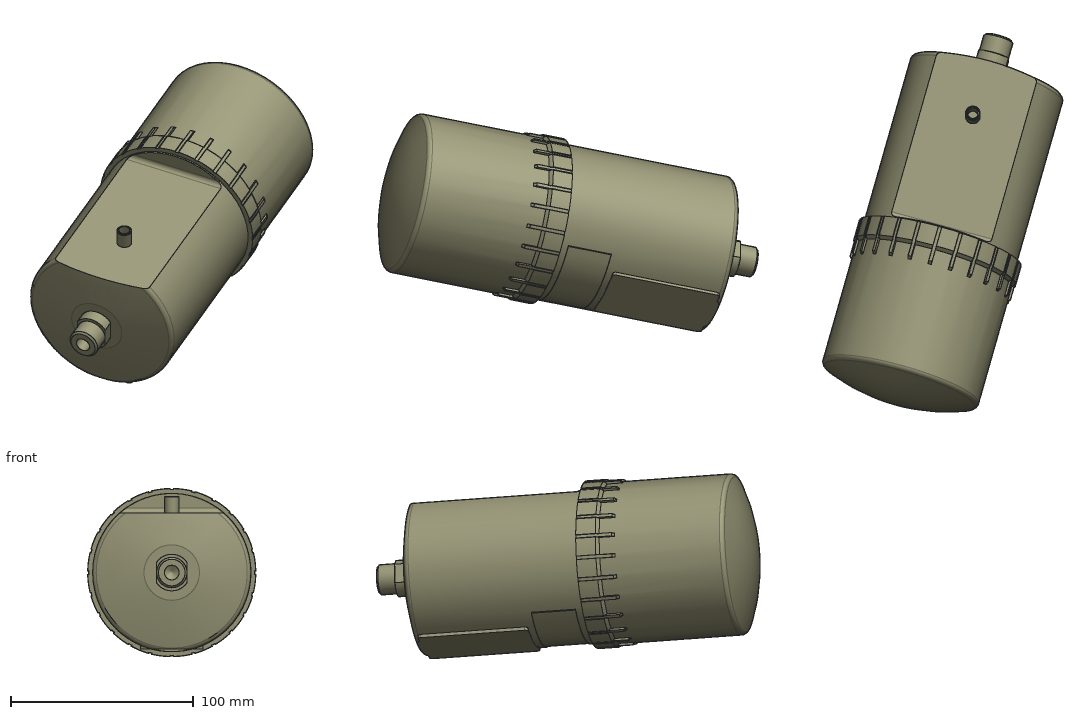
import cadquery as cq
import math


CAP_RADIUS = 88.5 / 2
CAP_LENGTH = 91.3
CAP_DOME_RADIUS = 107.5
CAP_EDGE_FILLET = 2.7
RING_RADIUS = 92.1 / 2
RING_LENGTH = 11.0
RING_CHAMFER = RING_RADIUS - CAP_RADIUS

RIB_COUNT = 24
RIB_WIDTH = 2.0
RIB_RADIUS = 45.5
RIB_END = 21.3
RIB_END_SLOPE_LENGTH = 1.5
RIB_EMBEDMENT = 2.1
RIB_ROOT_RADIUS = CAP_RADIUS - RIB_EMBEDMENT

TOTAL_LENGTH = 210.8
HOUSING_RADIUS = 86.6 / 2
HOUSING_LENGTH = 102.0
HOUSING_DOME_RADIUS = 149.7
HOUSING_EDGE_FILLET = 2.7
END_FACE_RADIUS = 15.2

TOP_FLAT_Z = 32.7
COLLAR_LENGTH = 1.0
TOP_FLAT_FILLET = 2.5

PAD_Z = -41.7
PAD_WIDTH = 34.2
PAD_START = 32.9
PAD_END = 94.5
PAD_CORNER_RADIUS = 1.7
PAD_ROOT_Z = -38.0
LABEL_START = 4.5
LABEL_END = 29.0
LABEL_WIDTH = 50.5
LABEL_DEPTH = 0.5

CONNECTOR_COLLAR_RADIUS = 20.0 / 2
CONNECTOR_COLLAR_FLATS = 16.9
CONNECTOR_COLLAR_LENGTH = 7.0
BARREL_RADIUS = 16.7 / 2
BARREL_CHAMFER = 1.0
BORE_RADIUS = 8.0 / 2
BORE_DEPTH = 12.6
BORE_TIP_ANGLE = 118.0

TUBE_RADIUS = 8.0 / 2
TUBE_TOP_Z = 41.7
TUBE_Y = -66.8
TUBE_CHAMFER = 0.5
TUBE_HOLE_RADIUS = 3.0


def domed_cylinder(radius, length, dome_radius, edge_fillet, face_radius=0.0):
    """Solid of revolution from Y = 0 to Y = length, with a domed and filleted far end.

    The dome may stop at a flat face of face_radius.
    """
    dome_centre = length - math.sqrt(dome_radius**2 - face_radius**2)
    fillet_x = radius - edge_fillet
    fillet_angle = math.acos(fillet_x / (dome_radius - edge_fillet))
    fillet_y = dome_centre + (dome_radius - edge_fillet) * math.sin(fillet_angle)

    def on_dome(angle):
        return (dome_radius * math.cos(angle), dome_centre + dome_radius * math.sin(angle))

    def on_fillet(angle):
        return (fillet_x + edge_fillet * math.cos(angle), fillet_y + edge_fillet * math.sin(angle))

    face_angle = math.acos(face_radius / dome_radius)
    profile = (
        cq.Workplane("XY")
        .moveTo(0, 0)
        .lineTo(radius, 0)
        .lineTo(radius, fillet_y)
        .threePointArc(on_fillet(fillet_angle / 2), on_fillet(fillet_angle))
        .threePointArc(on_dome((fillet_angle + face_angle) / 2), (face_radius, length))
    )
    if face_radius > 0:
        profile = profile.lineTo(0, length)
    return profile.close().revolve(360, (0, 0, 0), (0, 1, 0))


def y_cylinder(radius, start, end):
    """Cylinder on the Y axis between two Y positions, start > end."""
    return cq.Workplane("XZ", origin=(0, start, 0)).circle(radius).extrude(start - end)


def around_axis(shape, index):
    """Turn a shape to its place among the evenly spaced ribs."""
    return shape.rotate((0, 0, 0), (0, 1, 0), index * 360 / RIB_COUNT)


def make_cap():
    cap = domed_cylinder(CAP_RADIUS, CAP_LENGTH, CAP_DOME_RADIUS, CAP_EDGE_FILLET)
    ring = (
        cq.Workplane("XY")
        .polyline([
            (0, 0),
            (RING_RADIUS, 0),
            (RING_RADIUS, RING_LENGTH),
            (CAP_RADIUS, RING_LENGTH + RING_CHAMFER),
            (0, RING_LENGTH + RING_CHAMFER),
        ])
        .close()
        .revolve(360, (0, 0, 0), (0, 1, 0))
    )
    cap = cap.union(ring)

    rib = (
        cq.Workplane("YZ")
        .polyline([
            (0, RIB_ROOT_RADIUS),
            (RIB_END, RIB_ROOT_RADIUS),
            (RIB_END, CAP_RADIUS),
            (RIB_END - RIB_END_SLOPE_LENGTH, RIB_RADIUS),
            (0, RIB_RADIUS),
        ])
        .close()
        .extrude(RIB_WIDTH / 2, both=True)
    )
    groove_height = 2 * (RING_RADIUS - RIB_RADIUS)
    groove = cq.Workplane("XY").box(
        RIB_WIDTH, RING_LENGTH + RING_CHAMFER, groove_height, centered=(True, False, False)
    ).translate((0, 0, RIB_RADIUS))
    for index in range(RIB_COUNT):
        cap = cap.union(around_axis(rib, index))
        cap = cap.cut(around_axis(groove, index))
    return cap


def cut_top_flat(housing):
    flat_length = HOUSING_LENGTH - COLLAR_LENGTH
    cutter = (
        cq.Workplane("XY")
        .box(2 * HOUSING_RADIUS, flat_length, HOUSING_RADIUS, centered=(True, False, False))
        .translate((0, -HOUSING_LENGTH, TOP_FLAT_Z))
        .edges(">Y and <Z")
        .fillet(TOP_FLAT_FILLET)
    )
    return housing.cut(cutter)


def add_bottom_pad(housing):
    """Flatten the underside and widen the flat to a round-cornered pad."""
    flat_cutter = (
        cq.Workplane("XY")
        .box(PAD_WIDTH, HOUSING_LENGTH - PAD_START, HOUSING_RADIUS, centered=(True, False, False))
        .translate((0, -HOUSING_LENGTH, PAD_Z - HOUSING_RADIUS))
    )
    pad_length = PAD_END - PAD_START
    pad = (
        cq.Workplane("XY", origin=(0, -(PAD_START + PAD_END) / 2, PAD_Z))
        .rect(PAD_WIDTH, pad_length)
        .extrude(PAD_ROOT_Z - PAD_Z)
        .edges("|Z")
        .fillet(PAD_CORNER_RADIUS)
    )
    return housing.cut(flat_cutter).union(pad)


def cut_label_recess(housing):
    """Shallow recess of even depth wrapped around the underside."""
    sleeve = y_cylinder(HOUSING_RADIUS + LABEL_DEPTH, -LABEL_START, -LABEL_END).cut(
        y_cylinder(HOUSING_RADIUS - LABEL_DEPTH, -LABEL_START, -LABEL_END)
    )
    window = (
        cq.Workplane("XY")
        .box(LABEL_WIDTH, HOUSING_LENGTH, 2 * HOUSING_RADIUS, centered=(True, False, False))
        .translate((0, -HOUSING_LENGTH, -2 * HOUSING_RADIUS))
    )
    return housing.cut(sleeve.intersect(window))


def add_connector(housing):
    collar_end = -HOUSING_LENGTH - CONNECTOR_COLLAR_LENGTH
    tip = CAP_LENGTH - TOTAL_LENGTH
    flats = cq.Workplane("XZ").rect(CONNECTOR_COLLAR_FLATS, 2 * CONNECTOR_COLLAR_RADIUS).extrude(TOTAL_LENGTH)
    collar = y_cylinder(CONNECTOR_COLLAR_RADIUS, -HOUSING_LENGTH, collar_end).intersect(flats)
    barrel = y_cylinder(BARREL_RADIUS, collar_end, tip).faces("<Y").chamfer(BARREL_CHAMFER)

    bore_end = tip + BORE_DEPTH
    bore_tip = bore_end + BORE_RADIUS / math.tan(math.radians(BORE_TIP_ANGLE / 2))
    bore = (
        cq.Workplane("XY")
        .polyline([(0, tip), (BORE_RADIUS, tip), (BORE_RADIUS, bore_end), (0, bore_tip)])
        .close()
        .revolve(360, (0, 0, 0), (0, 1, 0))
    )
    return housing.union(collar).union(barrel).cut(bore)


def add_tube(housing):
    tube = (
        cq.Workplane("XY", origin=(0, TUBE_Y, TOP_FLAT_Z))
        .circle(TUBE_RADIUS)
        .extrude(TUBE_TOP_Z - TOP_FLAT_Z)
        .faces(">Z")
        .chamfer(TUBE_CHAMFER)
        .faces(">Z")
        .workplane()
        .hole(2 * TUBE_HOLE_RADIUS, TUBE_TOP_Z - TOP_FLAT_Z)
    )
    return housing.union(tube)


def make_housing():
    housing = domed_cylinder(
        HOUSING_RADIUS, HOUSING_LENGTH, HOUSING_DOME_RADIUS, HOUSING_EDGE_FILLET, END_FACE_RADIUS
    ).rotate((0, 0, 0), (0, 0, 1), 180)
    housing = cut_top_flat(housing)
    housing = add_bottom_pad(housing)
    housing = cut_label_recess(housing)
    housing = add_connector(housing)
    return add_tube(housing)


cap = make_cap()
housing = make_housing()

result = cq.Compound.makeCompound([cap.val(), housing.val()])